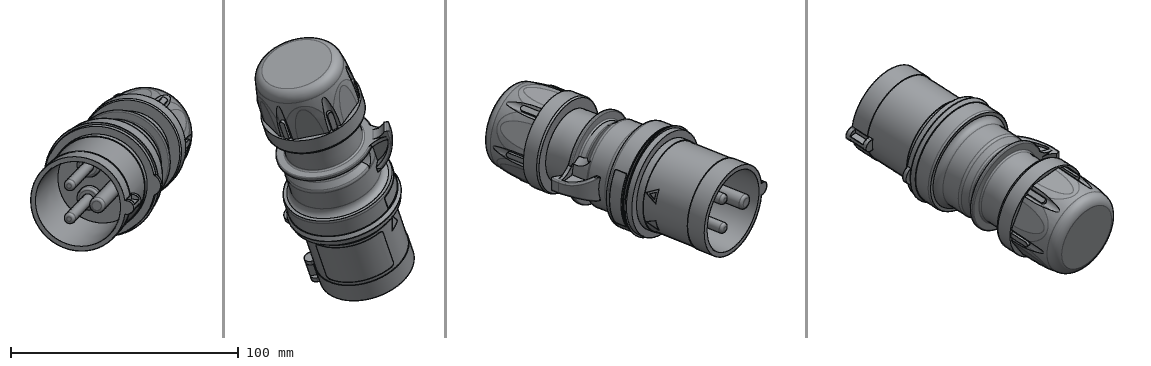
import cadquery as cq
import math

total_length = 123.0
reach = 36.9

cap_end_radius = 15.9
cap_shoulder_radius, cap_shoulder_y = 20.0, 118.1
cap_base_radius, cap_base_y = 44.4 / 2, 98.2
cap_ring_radius, cap_ring_front_y = 45.6 / 2, 89.9
cap_ring_chamfer = 0.5
grip_count = 6
grip_flat_distance = 20.7
grip_flat_fillet = 9.8
grip_channel_radius = 1.7
grip_channel_floor = 20.4
grip_flank_root_radius = 21.0
grip_flank_half_width = 3.8
grip_rib_half_width = 1.4
grip_rib_end_y = 108.0
grip_rib_top = 22.0

neck_radius, neck_ring_radius = 35.3 / 2, 34.8 / 2
disk_radius, disk_front_y, disk_back_y = 22.1, 73.2, 75.0
disk_edge_fillet = 0.5
disk_root_fillet = 0.7
neck_front_y = 69.9
cone_fillet_radius = 1.8
cone_back_radius, cone_back_y = 18.1, 68.8
cone_front_radius, cone_front_y = 20.3, 66.2
body_radius, body_front_y, body_back_y = 41.5 / 2, 55.4, 64.7

collar_radius, collar_front_y, collar_back_y = 25.1, 37.5, 51.7
collar_flare_radius = 23.1
collar_edge_height, collar_edge_inset = 1.1, 0.4
lip_radius, lip_back_y, lip_edge_y, lip_front_y = 52.0 / 2, 42.7, 40.7, 40.5
lip_groove_radius = 24.7

sleeve_radius = 42.5 / 2
sleeve_band_radius = 43.2 / 2
rear_band_front_y = 34.1
front_band_back_y = 10.0
sleeve_front_y = 0.7
cavity_mouth_radius, cavity_floor_radius = 38.7 / 2, 19.1
cavity_floor_y = collar_front_y

pin_pitch_radius = 8.7
earth_pin_radius, earth_pin_fillet = 7.0 / 2, 1.4
live_pin_radius, live_pin_fillet, live_pin_tip_y = 5.0 / 2, 1.5, 1.8
pin_boss_radius, pin_boss_height, pin_boss_fillet = 5.3, 3.7, 1.2

key_radius, key_tip_x, key_back_y = 6.3 / 2, 25.3, 13.0
key_pocket_front_y, key_pocket_back_y = 3.1, 11.0
key_web_thickness = 2.0
key_pocket_wall = 0.2
tab_radius, tab_tip_x, tab_back_y = 5.2, 27.7, 39.6

hook_outer_x = -30.0
hook_arc_y = 73.8
hook_outer_end = (-19.9, 58.3)
hook_inner_start, hook_inner_bend, hook_inner_end = (-28.2, 72.0), (-25.5, 65.7), (-19.9, 61.0)
hook_edge_fillet = 0.7
hook_waist_y = 70.6
hook_tip_y = 78.0
hook_tip_inner_x = -27.9
hook_tip_half_width = 3.2
hook_foot_half_width = 6.2
hook_foot_front_y = 57.3
hook_foot_back_y = 60.3
hook_foot_fillet = 1.5
hook_web_half_width = 2.0
hook_root_half_width = 7.6

shoulder_half_width = 9.1
shoulder_depth_x = 15.3
shoulder_wall_slope = 25
shoulder_front_half_width = 13.9

panel_depth = 0.18
marking_height = 0.1
collar_panel_front_y, collar_panel_back_y, collar_panel_half_width = 43.4, 49.7, 14.0
collar_panel_corner = 0.6
sleeve_panel_front_y, sleeve_panel_back_y, sleeve_panel_half_width = 11.6, 32.3, 15.3
sleeve_panel_corner = 1.5
arrow_tip_y, arrow_base_y, arrow_z, arrow_half_width = 33.5, 27.5, 7.6, 3.2
arrow_frame_scale = 0.5


def cylinder_y(radius, y_from, y_to, x=0.0, z=0.0):
    """Cylinder parallel to the Y axis."""
    start = cq.Vector(x, y_from, z)
    return cq.Workplane(cq.Solid.makeCylinder(radius, y_to - y_from, start, cq.Vector(0, 1, 0)))


def box(x_from, x_to, y_from, y_to, z_from, z_to):
    size = (x_to - x_from, y_to - y_from, z_to - z_from)
    return cq.Workplane("XY").box(*size, centered=False).translate((x_from, y_from, z_from))


def shell(radius, depth, y_from, y_to):
    """Thin tube whose outer radius is given."""
    return cylinder_y(radius, y_from, y_to).cut(cylinder_y(radius - depth, y_from, y_to))


def revolve(outline):
    return outline.close().revolve(360, (0, 0, 0), (0, 1, 0))


def make_cap():
    bulge = 0.5
    cap = revolve(
        cq.Workplane("XY")
        .moveTo(0, cap_base_y)
        .lineTo(cap_base_radius, cap_base_y)
        .threePointArc(
            (
                (cap_base_radius + cap_shoulder_radius) / 2 + bulge,
                (cap_base_y + cap_shoulder_y) / 2,
            ),
            (cap_shoulder_radius, cap_shoulder_y),
        )
        .radiusArc((cap_end_radius, total_length), -4.9)
        .lineTo(0, total_length)
    )
    grip_length = total_length - cap_base_y
    flank_start = (grip_channel_radius, grip_flank_root_radius)
    flank_slope = (cap_base_radius - flank_start[1]) / (grip_flank_half_width - flank_start[0])
    flank_run = 2 * grip_flank_half_width
    flank_end = (flank_start[0] + flank_run, flank_start[1] + flank_run * flank_slope)
    groove = (
        cq.Workplane("XZ", origin=(0, total_length, 0))
        .moveTo(-flank_end[0], flank_end[1])
        .lineTo(-flank_start[0], flank_start[1])
        .threePointArc((0, grip_channel_floor), flank_start)
        .lineTo(*flank_end)
        .close()
        .extrude(grip_length)
    )
    rib = (
        cq.Workplane("XY", origin=(0, 0, grip_channel_floor - 1.2))
        .moveTo(-grip_rib_half_width, cap_base_y)
        .lineTo(-grip_rib_half_width, grip_rib_end_y - grip_rib_half_width)
        .threePointArc(
            (0, grip_rib_end_y), (grip_rib_half_width, grip_rib_end_y - grip_rib_half_width)
        )
        .lineTo(grip_rib_half_width, cap_base_y)
        .close()
        .extrude(grip_rib_top - grip_channel_floor + 1.2)
    )
    flat = box(-reach, reach, cap_base_y, total_length, grip_flat_distance, reach)
    pitch = 360 / grip_count
    axis = ((0, 0, 0), (0, 1, 0))
    for index in range(grip_count):
        cap = cap.cut(flat.rotate(*axis, index * pitch))
    flat_edges = cap.faces("#Y").edges(cq.selectors.BoxSelector(
        (-reach, cap_base_y + 1.2, -reach), (reach, total_length, reach)))
    cap = cap.newObject(flat_edges.vals()).fillet(grip_flat_fillet)
    for index in range(grip_count):
        angle = (index + 0.5) * pitch
        cap = cap.cut(groove.rotate(*axis, angle)).union(rib.rotate(*axis, angle))
    ring = cylinder_y(cap_ring_radius, cap_ring_front_y, cap_base_y)
    ring = ring.faces("<Y").chamfer(2 * cap_ring_chamfer, cap_ring_chamfer)
    return cap.union(ring)


def make_body():
    outline = revolve(
        cq.Workplane("XY")
        .moveTo(0, sleeve_front_y)
        .lineTo(sleeve_band_radius, sleeve_front_y)
        .lineTo(sleeve_band_radius, front_band_back_y)
        .lineTo(sleeve_radius, front_band_back_y)
        .lineTo(sleeve_radius, rear_band_front_y)
        .lineTo(sleeve_band_radius, rear_band_front_y)
        .lineTo(sleeve_band_radius, collar_front_y)
        .lineTo(collar_radius, collar_front_y)
        .lineTo(collar_radius, lip_front_y)
        .lineTo(lip_radius, lip_front_y)
        .lineTo(lip_radius, lip_edge_y)
        .lineTo(lip_groove_radius, lip_back_y - 0.4)
        .lineTo(lip_groove_radius, lip_back_y)
        .lineTo(collar_radius, lip_back_y)
        .lineTo(collar_radius, collar_back_y - collar_edge_height)
        .radiusArc((collar_radius - collar_edge_inset, collar_back_y), -1.8)
        .lineTo(collar_flare_radius, collar_back_y)
        .radiusArc((body_radius, body_front_y), 3.7)
        .lineTo(body_radius, body_back_y)
        .radiusArc((cone_front_radius, cone_front_y), -cone_fillet_radius)
        .lineTo(cone_back_radius, cone_back_y)
        .radiusArc((neck_radius, neck_front_y), cone_fillet_radius)
        .lineTo(neck_radius, disk_front_y - disk_root_fillet)
        .radiusArc((neck_radius + disk_root_fillet, disk_front_y), disk_root_fillet)
        .lineTo(neck_radius + disk_root_fillet, disk_back_y)
        .radiusArc((neck_radius, disk_back_y + disk_root_fillet), disk_root_fillet)
        .lineTo(neck_ring_radius, cap_ring_front_y)
        .lineTo(0, cap_ring_front_y)
    )
    disk = cylinder_y(disk_radius, disk_front_y, disk_back_y).edges().fillet(disk_edge_fillet)
    return outline.union(disk)


def make_shoulder():
    """Sector of full body radius below the hook, with sloping walls flared toward the body."""
    flare_depth = shoulder_front_half_width - shoulder_half_width
    flare_length = disk_front_y - body_back_y
    diagonal = math.sin(math.pi / 4)
    bend_y = disk_front_y - flare_length * diagonal
    bend_z = shoulder_front_half_width - flare_depth * diagonal

    def outline(plane_x):
        return (
            cq.Workplane("YZ", origin=(plane_x, 0, 0))
            .moveTo(neck_end_y, -shoulder_half_width)
            .lineTo(disk_front_y, -shoulder_half_width)
            .threePointArc((bend_y, -bend_z), (body_back_y, -shoulder_front_half_width))
            .lineTo(body_front_y, -shoulder_front_half_width)
            .lineTo(body_front_y, shoulder_front_half_width)
            .lineTo(body_back_y, shoulder_front_half_width)
            .threePointArc((bend_y, bend_z), (disk_front_y, shoulder_half_width))
            .lineTo(neck_end_y, shoulder_half_width)
            .close()
        )

    neck_end_y = cap_ring_front_y
    sector = outline(-shoulder_depth_x).extrude(shoulder_depth_x)
    slope_height = body_radius - shoulder_depth_x
    sloped = outline(-shoulder_depth_x).extrude(-slope_height, taper=shoulder_wall_slope)
    return sector.union(sloped).intersect(cylinder_y(body_radius, body_back_y, disk_front_y))


def make_hook_profile():
    """Hook seen along Z: straight tip, strap curving into the body, sweep into the disk."""
    return (
        cq.Workplane("XY", origin=(0, 0, -reach))
        .moveTo(hook_outer_x, hook_tip_y)
        .lineTo(hook_outer_x, hook_arc_y)
        .tangentArcPoint(hook_outer_end, relative=False)
        .lineTo(*hook_inner_end)
        .threePointArc(hook_inner_bend, hook_inner_start)
        .lineTo(hook_inner_start[0], disk_front_y)
        .lineTo(-disk_radius, disk_front_y)
        .lineTo(-disk_radius, disk_back_y)
        .radiusArc((hook_tip_inner_x, hook_tip_y), 7.4)
        .close()
        .extrude(2 * reach)
    )


def make_hook():
    half = (
        cq.Workplane("YZ", origin=(-reach, 0, 0))
        .moveTo(hook_tip_y, 0)
        .lineTo(hook_tip_y, hook_tip_half_width)
        .lineTo(hook_waist_y, hook_tip_half_width)
        .threePointArc((65.2, 4.0), (hook_foot_back_y, hook_foot_half_width))
        .lineTo(hook_foot_front_y, hook_foot_half_width)
        .lineTo(hook_foot_front_y, 0)
        .close()
        .extrude(reach)
        .edges("|X and >Z and <Y")
        .fillet(hook_foot_fillet)
    )
    strap = make_hook_profile().intersect(half.union(half.mirror("XY")))
    tip_edges = cq.selectors.BoxSelector(
        (hook_outer_x - 0.1, hook_arc_y + 0.1, -reach),
        (hook_outer_x + 0.1, total_length, reach),
    )
    strap = strap.edges(tip_edges).fillet(hook_edge_fillet)

    web = (
        cq.Workplane("XY", origin=(0, 0, -hook_web_half_width))
        .moveTo(hook_inner_start[0], disk_front_y)
        .lineTo(*hook_inner_start)
        .threePointArc(hook_inner_bend, hook_inner_end)
        .lineTo(hook_inner_end[0], disk_front_y)
        .close()
        .extrude(2 * hook_web_half_width)
    )

    root_x = -math.sqrt((disk_radius - disk_edge_fillet) ** 2 - hook_root_half_width**2)
    root = (
        cq.Workplane("XZ", origin=(0, disk_back_y, 0))
        .moveTo(root_x, hook_root_half_width)
        .radiusArc((hook_tip_inner_x, hook_tip_half_width), 11.1)
        .lineTo(hook_tip_inner_x, -hook_tip_half_width)
        .radiusArc((root_x, -hook_root_half_width), 11.1)
        .close()
        .extrude(disk_back_y - disk_front_y)
    )
    return strap.union(web).union(root)


def rounded_lug(radius, tip_x, y_from, y_to):
    """Lug pointing along +X with a half-round tip."""
    center_x = tip_x - radius
    tip = cylinder_y(radius, y_from, y_to, x=center_x)
    return tip.union(box(cavity_mouth_radius + 0.6, center_x, y_from, y_to, -radius, radius))


def make_key():
    key = rounded_lug(key_radius, key_tip_x, sleeve_front_y, key_back_y)
    pocket = box(
        sleeve_band_radius,
        key_tip_x - key_pocket_wall,
        key_pocket_front_y,
        key_pocket_back_y,
        key_web_thickness / 2,
        reach,
    )
    return key.cut(pocket).cut(pocket.mirror("XY"))


def make_tab():
    return cylinder_y(tab_radius, collar_front_y, tab_back_y, x=tab_tip_x - tab_radius)


def make_cavity():
    return revolve(
        cq.Workplane("XY")
        .lineTo(cavity_mouth_radius, 0)
        .lineTo(cavity_floor_radius, cavity_floor_y)
        .lineTo(0, cavity_floor_y)
    )


def make_pins():
    earth = cylinder_y(earth_pin_radius, 0, cavity_floor_y, x=pin_pitch_radius)
    pins = earth.faces("<Y").edges().fillet(earth_pin_fillet)
    for angle in (120, 240):
        x = pin_pitch_radius * math.cos(math.radians(angle))
        z = pin_pitch_radius * math.sin(math.radians(angle))
        pin = cylinder_y(live_pin_radius, live_pin_tip_y, cavity_floor_y, x, z)
        pin = pin.faces("<Y").edges().fillet(live_pin_fillet)
        boss = cylinder_y(
            pin_boss_radius, cavity_floor_y - pin_boss_height, cavity_floor_y, x, z
        )
        boss = boss.faces("<Y").edges().fillet(pin_boss_fillet)
        pins = pins.union(pin).union(boss)
    return pins


def make_collar_panel():
    """Rounded rectangle sunk into the collar on the -X side."""
    y_from, y_to = collar_panel_front_y, collar_panel_back_y
    half_width = collar_panel_half_width
    block = box(-reach, 0, y_from, y_to, -half_width, half_width)
    block = block.edges("|X").fillet(collar_panel_corner)
    return block.intersect(shell(collar_radius, panel_depth, y_from, y_to))


def make_sleeve_panel():
    """Rounded rectangle sunk into the sleeve on the -Z side."""
    y_from, y_to = sleeve_panel_front_y, sleeve_panel_back_y
    half_width = sleeve_panel_half_width
    block = box(-half_width, half_width, y_from, y_to, -reach, 0)
    block = block.edges("|Z").fillet(sleeve_panel_corner)
    return block.intersect(shell(sleeve_radius, panel_depth, y_from, y_to))


def arrow_prism(z, scale):
    """Triangle pointing to +Y, shrunk by the scale about its centroid."""
    length = arrow_tip_y - arrow_base_y
    centroid_y = arrow_base_y + length / 3
    half_width = arrow_half_width * scale
    base_y = centroid_y - length / 3 * scale
    corners = [
        (centroid_y + length * 2 / 3 * scale, z),
        (base_y, z - half_width),
        (base_y, z + half_width),
    ]
    return cq.Workplane("YZ", origin=(-reach, 0, 0)).polyline(corners).close().extrude(reach)


def make_arrows():
    """Raised triangles on the -X side: an open frame above, a solid one below."""
    frame = arrow_prism(arrow_z, 1.0).cut(arrow_prism(arrow_z, arrow_frame_scale))
    solid = arrow_prism(-arrow_z, 1.0)
    layer = shell(
        sleeve_radius + marking_height, 2 * marking_height, arrow_base_y, arrow_tip_y
    )
    return frame.union(solid).intersect(layer)


result = (
    make_body()
    .union(make_cap())
    .union(make_shoulder())
    .union(make_hook())
    .union(make_key())
    .union(make_tab())
    .cut(make_cavity())
    .cut(make_collar_panel())
    .cut(make_sleeve_panel())
    .union(make_arrows())
    .union(make_pins())
)